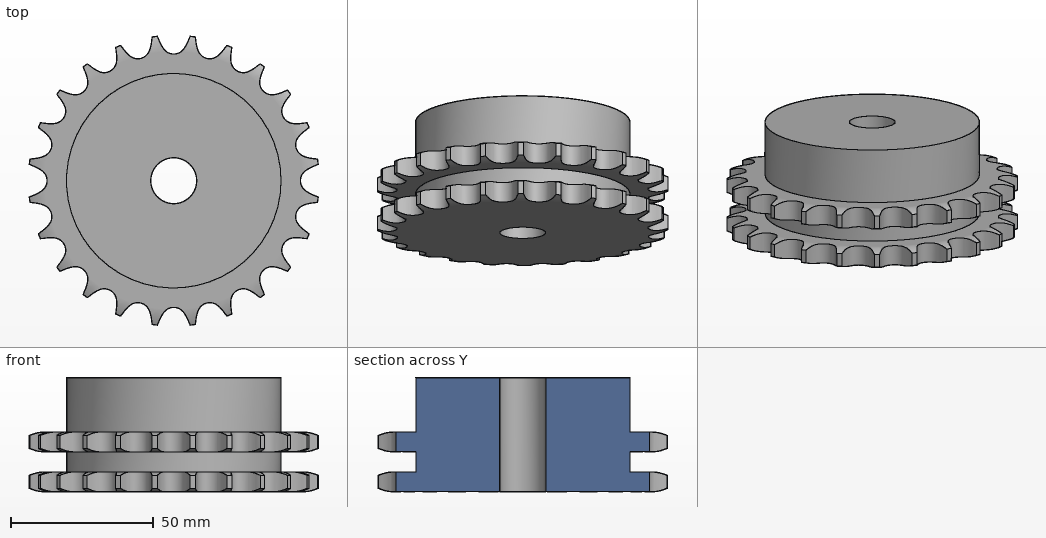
import cadquery as cq
import math


roller_diameter = 8.5
row_spacing = 14.0

tooth_count = 24
pitch_diameter = 97.3
tip_radius = 50.9
row_thickness = 7.0
total_height = 40.0
hub_diameter = 75.0
bore_diameter = 16.0

side_rounding_start = 45.2
side_rounding_radius = 13.7

seat_clearance = 0.04
seat_radius = 0.5025 * roller_diameter + seat_clearance
seat_half_angle = math.radians(55 - 60 / tooth_count)
flank_radius = 1.3025 * roller_diameter + seat_clearance
flank_sweep = math.radians(18 - 56 / tooth_count)
topping_angle = math.radians(17 - 64 / tooth_count)
straight_length = roller_diameter * (1.4 * math.sin(topping_angle) - 0.8 * math.sin(flank_sweep))
topping_radius = (
    roller_diameter * (0.8 * math.cos(flank_sweep) + 1.4 * math.cos(topping_angle)) - flank_radius
)
topping_sweep = math.radians(20)


def along(origin, angle, distance):
    """Point at a distance from origin, the angle being measured from the +X axis in the XY plane."""
    return (origin[0] + distance * math.cos(angle), origin[1] + distance * math.sin(angle))


def mirrored(point):
    """Point on the other side of the gap's centre line, which is the X axis."""
    return (point[0], -point[1])


def side_drop(radius):
    """How far the rounded tooth side lies below the flat face at a radius from the axis."""
    reach = radius - side_rounding_start
    return side_rounding_radius - math.sqrt(side_rounding_radius**2 - reach**2)


def rounded_disc():
    """Disc whose rim is narrowed on both sides by an arc in the radial section."""
    middle_radius = (side_rounding_start + tip_radius) / 2
    middle_drop = side_drop(middle_radius)
    tip_drop = side_drop(tip_radius)
    return (
        cq.Workplane("XZ")
        .lineTo(side_rounding_start, 0)
        .threePointArc((middle_radius, middle_drop), (tip_radius, tip_drop))
        .lineTo(tip_radius, row_thickness - tip_drop)
        .threePointArc(
            (middle_radius, row_thickness - middle_drop),
            (side_rounding_start, row_thickness),
        )
        .lineTo(0, row_thickness)
        .close()
        .revolve(360, (0, 0, 0), (0, 1, 0))
    )


def tooth_gap():
    """Cutter for one tooth gap, centred on the X axis and open beyond the tooth tips."""
    seat_centre = (pitch_diameter / 2, 0)
    seat_bottom = along(seat_centre, math.pi, seat_radius)

    seat_end_angle = math.pi - seat_half_angle
    seat_end = along(seat_centre, seat_end_angle, seat_radius)

    flank_centre = along(seat_end, seat_end_angle, -flank_radius)
    flank_middle = along(flank_centre, seat_end_angle - flank_sweep / 2, flank_radius)
    flank_end_angle = seat_end_angle - flank_sweep
    flank_end = along(flank_centre, flank_end_angle, flank_radius)

    straight_end = along(flank_end, flank_end_angle - math.pi / 2, straight_length)

    topping_centre = along(straight_end, flank_end_angle, topping_radius)
    topping_middle = along(topping_centre, flank_end_angle + topping_sweep / 2, -topping_radius)
    topping_end = along(topping_centre, flank_end_angle + topping_sweep, -topping_radius)

    return (
        cq.Workplane("XY")
        .moveTo(*topping_end)
        .threePointArc(topping_middle, straight_end)
        .lineTo(*flank_end)
        .threePointArc(flank_middle, seat_end)
        .threePointArc(seat_bottom, mirrored(seat_end))
        .threePointArc(mirrored(flank_middle), mirrored(flank_end))
        .lineTo(*mirrored(straight_end))
        .threePointArc(mirrored(topping_middle), mirrored(topping_end))
        .close()
        .extrude(row_thickness)
    )


def tooth_row():
    """One toothed disc resting on Z = 0, with tooth gaps on the X and Y axes."""
    row = rounded_disc()
    gap = tooth_gap()
    for index in range(tooth_count):
        row = row.cut(gap.rotate((0, 0, 0), (0, 0, 1), index * 360 / tooth_count))
    return row


lower_row = tooth_row()
upper_row = lower_row.translate((0, 0, row_spacing))
hub = cq.Workplane("XY").circle(hub_diameter / 2).extrude(total_height)
bore = cq.Workplane("XY").circle(bore_diameter / 2).extrude(total_height)

result = hub.union(lower_row).union(upper_row).cut(bore)